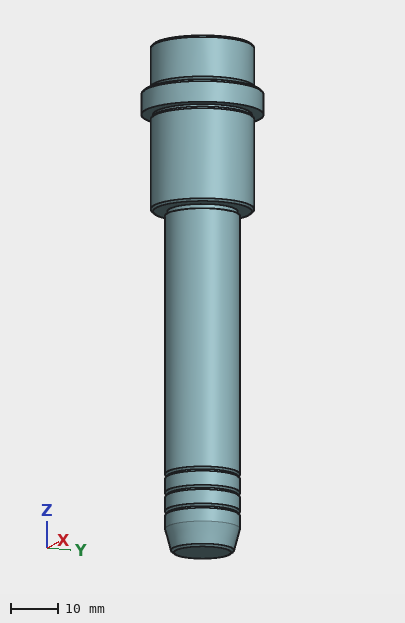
import cadquery as cq
import math

length = 110.0
flange_radius = 26.0 / 2
head_radius = 22.0 / 2
shaft_radius = 16.0 / 2

flange_top = 100.0
flange_bottom = 95.0
head_bottom = 74.0
shaft_top = 73.0
tip_top = 5.2

edge = 0.5
flange_relief_radius = head_radius - edge
shaft_relief_radius = shaft_radius - edge

tip_angle = 15.0
tip_radius = shaft_radius - tip_top * math.tan(math.radians(tip_angle))
tip_edge = edge
tip_edge_radius = shaft_radius - (tip_top - tip_edge) * math.tan(math.radians(tip_angle))

groove_count = 3
groove_depth = 0.5
groove_half_width = groove_depth
lowest_groove = 8.5
highest_groove = 16.5
groove_pitch = (highest_groove - lowest_groove) / (groove_count - 1)


def make_body():
    """Revolve the stepped half profile about Z."""
    profile = [
        (0, 0),
        (tip_radius - tip_edge, 0),
        (tip_edge_radius, tip_edge),
        (shaft_radius, tip_top),
        (shaft_radius, shaft_top),
        (shaft_relief_radius, shaft_top),
        (shaft_relief_radius, head_bottom),
        (head_radius - edge, head_bottom),
        (head_radius, head_bottom + edge),
        (head_radius, flange_bottom - 2 * edge),
        (flange_relief_radius, flange_bottom - edge),
        (flange_relief_radius, flange_bottom),
        (flange_radius, flange_bottom),
        (flange_radius, flange_top - edge),
        (flange_radius - edge, flange_top),
        (flange_relief_radius, flange_top),
        (flange_relief_radius, flange_top + edge),
        (head_radius, flange_top + 2 * edge),
        (head_radius, length - edge),
        (head_radius - edge, length),
        (0, length),
    ]
    return cq.Workplane("XZ").polyline(profile).close().revolve(360, (0, 0), (0, 1))


def make_groove_ring(height):
    """Triangular ring whose root lies at the given height."""
    section = [
        (shaft_radius - groove_depth, height),
        (shaft_radius, height + groove_half_width),
        (shaft_radius, height - groove_half_width),
    ]
    return cq.Workplane("XZ").polyline(section).close().revolve(360, (0, 0), (0, 1))


result = make_body()
for index in range(groove_count):
    result = result.cut(make_groove_ring(lowest_groove + index * groove_pitch))